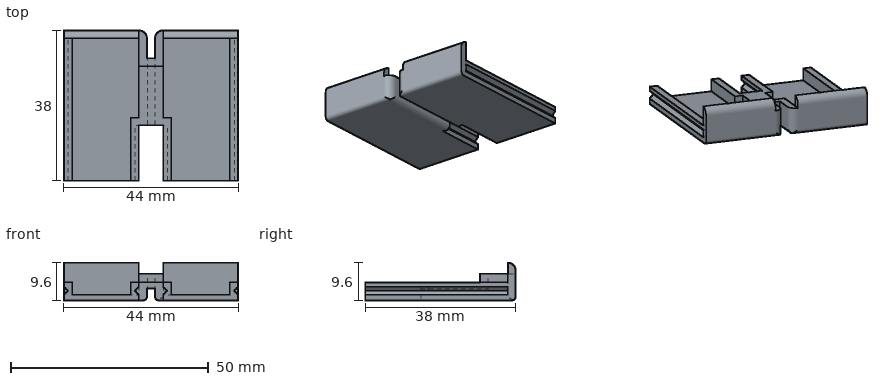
import cadquery as cq

width = 44.0
depth = 38.0
height = 9.6

floor_thickness = 1.4
rail_height = 4.58
rail_width = 2.1
wall_thickness = 2.0
wall_bottom_radius = 1.0
wall_front = depth - wall_thickness

bridge_width = 6.1
cutout_length = 14.0
cutout_border = 2.0
block_height = 6.8
block_length = 9.0

slot_width = 2.0
back_slot_length = 7.05
channel_height = 3.0
channel_mouth_radius = 1.0
prong_radius = 2.02

groove_depth = 1.0
groove_bottom = 1.45


def box(x_min, x_max, y_min, y_max, z_min, z_max):
    """Box given by its limits along each axis."""
    size = (x_max - x_min, y_max - y_min, z_max - z_min)
    return cq.Workplane("XY").box(*size, centered=False).translate((x_min, y_min, z_min))


def centred_box(x_size, y_min, y_max, z_min, z_max):
    """Box centred on X = 0."""
    return box(-x_size / 2, x_size / 2, y_min, y_max, z_min, z_max)


def v_groove(face_x, inward, length):
    """V cutter from the front edge; inward is the X direction into the rail."""
    return (
        cq.Workplane("XZ")
        .moveTo(face_x, groove_bottom)
        .lineTo(face_x + inward * groove_depth, groove_bottom + groove_depth)
        .lineTo(face_x, groove_bottom + 2 * groove_depth)
        .close()
        .extrude(-length)
    )


def make_trays():
    """Floor with a back wall, whose outer top edge is rounded over its full thickness."""
    wall_top_radius = wall_thickness
    profile = (
        cq.Workplane("YZ")
        .lineTo(depth - wall_bottom_radius, 0)
        .radiusArc((depth, wall_bottom_radius), -wall_bottom_radius)
        .lineTo(depth, height - wall_top_radius)
        .radiusArc((wall_front, height), -wall_top_radius)
        .lineTo(wall_front, floor_thickness)
        .lineTo(0, floor_thickness)
        .close()
        .extrude(width / 2, both=True)
    )
    wall_gap = centred_box(bridge_width, wall_front, depth, floor_thickness, height)
    return profile.cut(wall_gap)


def make_bridge():
    """Centre bar, the border around the front cutout and the raised block at the back."""
    bar = centred_box(bridge_width, 0, wall_front, 0, rail_height)
    border_width = bridge_width + 2 * rail_width
    border = centred_box(border_width, 0, cutout_length + cutout_border, 0, rail_height)
    block = centred_box(bridge_width, depth - block_length, depth, 0, block_height)
    block = block.edges(">Y and <Z").fillet(wall_bottom_radius)
    return bar.union(border).union(block)


def make_channel():
    """Underside channel through the bridge, with rounded mouth edges."""
    half_slot = slot_width / 2
    half_mouth = half_slot + channel_mouth_radius
    return (
        cq.Workplane("XZ")
        .moveTo(-half_mouth, 0)
        .radiusArc((-half_slot, channel_mouth_radius), -channel_mouth_radius)
        .lineTo(-half_slot, channel_height)
        .lineTo(half_slot, channel_height)
        .lineTo(half_slot, channel_mouth_radius)
        .radiusArc((half_mouth, 0), -channel_mouth_radius)
        .close()
        .extrude(-depth)
    )


def make_back_slot():
    """Slot through the block, flaring at the back so that the two prongs have round tips."""
    half_slot = slot_width / 2
    half_flare = half_slot + prong_radius
    return (
        cq.Workplane("XY")
        .moveTo(-half_slot, depth - back_slot_length)
        .lineTo(half_slot, depth - back_slot_length)
        .lineTo(half_slot, depth - prong_radius)
        .radiusArc((half_flare, depth), prong_radius)
        .lineTo(-half_flare, depth)
        .radiusArc((-half_slot, depth - prong_radius), prong_radius)
        .close()
        .extrude(height)
    )


result = make_trays().union(make_bridge())
for side in (-1, 1):
    outer = side * width / 2
    inner = outer - side * rail_width
    rail = box(min(outer, inner), max(outer, inner), 0, wall_front, 0, rail_height)
    result = result.union(rail)

result = result.cut(centred_box(bridge_width, 0, cutout_length, 0, rail_height))
result = result.cut(make_channel()).cut(make_back_slot())
for side in (-1, 1):
    result = result.cut(v_groove(side * width / 2, -side, wall_front))
    result = result.cut(v_groove(side * bridge_width / 2, side, cutout_length))